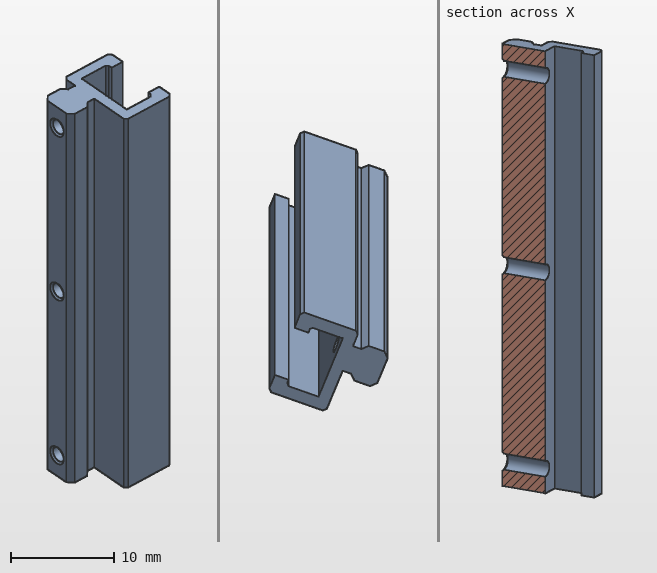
import cadquery as cq

length = 45.0
channel_width = 9.0
channel_depth = 6.0
wall = 1.2
slot_width = 5.3
lip_thickness = 1.45
outer_chamfer = 0.3
lip_root_chamfer = 0.22

tongue_x = -1.5
tongue_height = 3.6
neck_width = 2.8
neck_height = 0.85
head_width = 3.9
head_chamfer = (head_width - neck_width) / 2

hole_diameter = 1.58
countersink_diameter = 2.0
countersink_angle = 90.0
hole_pitch = 20.0



def bar(x_centre, width, y_start, y_end):
    """Full-length rectangular bar spanning y_start to y_end."""
    return cq.Workplane("XY").box(width, y_end - y_start, length).translate(
        (x_centre, (y_start + y_end) / 2, 0)
    )


def make_channel():
    cavity_width = channel_width - 2 * wall
    lip_y = channel_depth - lip_thickness
    body = bar(0, channel_width, 0, channel_depth).edges("|Z").chamfer(outer_chamfer)
    cavity = bar(0, cavity_width, wall, lip_y)
    cavity = cavity.edges("|Z and >Y").chamfer(lip_root_chamfer)
    slot = bar(0, slot_width, wall, channel_depth)
    return body.cut(cavity).cut(slot)


def make_tongue():
    head = bar(tongue_x, head_width, -tongue_height, -neck_height)
    head = head.edges("|Z").chamfer(head_chamfer)
    neck = bar(tongue_x, neck_width, -neck_height - head_chamfer, wall)
    return neck.union(head)


def drill_holes(body):
    return (
        body.faces("<Y")
        .workplane(origin=(tongue_x, -tongue_height, 0))
        .rarray(0.45, hole_pitch, 1, 3)
        .cskHole(hole_diameter, countersink_diameter, countersink_angle)
    )


result = drill_holes(make_channel().union(make_tongue()))